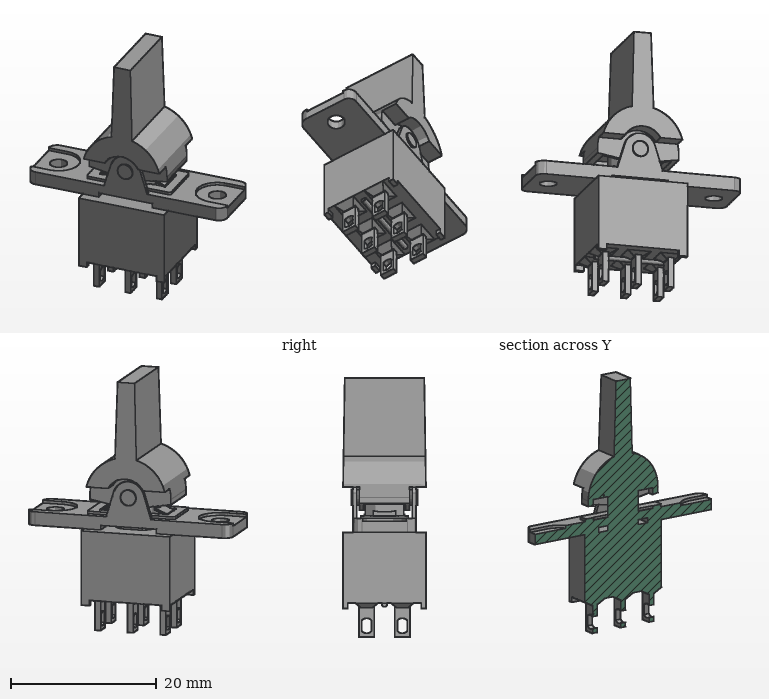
import cadquery as cq
import math


housing_length = 12.77
housing_width = 11.42
housing_base = 3.9
housing_top = 14.37
foot_height = 0.75
foot_length = 1.17
foot_width = 0.68
housing_floor = housing_base + foot_height

terminal_pitch_x = 4.7
terminal_pitch_y = 4.9
terminal_thickness = 0.82
terminal_width = 2.1
eyelet_width = 1.3
eyelet_bottom = 0.55
eyelet_height = 2.03
eyelet_arch = 0.3
bead_height = 0.65
bead_base_length = 3.35
bead_base_width = 3.13
bead_tip_length = 1.0
bead_tip_width = 1.6
rib_height = 0.55
rib_width = 0.7
rib_length = housing_length - 2 * foot_length

plate_length = 29.35
plate_width = 8.68
plate_thickness = 1.92
plate_top = housing_top + plate_thickness
plate_corner_radius = 1.2
screw_hole_diameter = 2.4
screw_hole_x = 11.88
screw_recess_radius = 3.0
screw_recess_depth = 0.4
underside_notch_length = 8.05
underside_notch_height = 0.65
pad_length = 12.6
pad_width = 6.55
pad_height = 0.35
pad_corner_radius = 0.3
pad_slot_length = 9.8
pad_slot_width = 3.85
pad_top = plate_top + pad_height

pivot_z = 19.17
pin_diameter = 2.2
pin_length = 9.1
ear_thickness = 0.55
ear_base_half_length = 3.25
ear_tip_radius = 2.25

bushing_radius = 3.2
collar_width = 5.62
collar_top = 16.82
neck_width = 5.35
tab_width = 3.1
tab_tip_x = 4.7
tab_tip_depth = 0.07
tab_tip_z = pad_top - tab_tip_depth
tab_slope = 0.4
tab_thickness = 0.25

rocker_radius = 5.85
rocker_width = housing_width
hub_width = 6.9
shoulder_rise = 1.42
shoulder_z = pivot_z + shoulder_rise
ear_clearance_radius = 2.88
underside_edge_z = 18.35
underside_centre_z = 17.4
cavity_length = 9.8
cavity_width = 5.75
cavity_top = pivot_z
lever_top = 35.57
lever_tip_thickness = 2.45
lever_root_thickness = 3.1
lever_tip_width = 10.95


def block(length, width, bottom, top):
    """Box centred on the Z axis between two heights."""
    return cq.Workplane("XY", origin=(0, 0, bottom)).rect(length, width).extrude(top - bottom)


def across_y(outline, width):
    """Extrude a closed outline in X and Z over a width centred on Y = 0."""
    return outline.close().extrude(width / 2, both=True)


def along_x(points, length):
    """Extrude a polygon in Y and Z over a length centred on X = 0."""
    return cq.Workplane("YZ").polyline(points).close().extrude(length / 2, both=True)


def pivot_cylinder(radius, width):
    """Cylinder around the pivot axis, centred on Y = 0."""
    return cq.Workplane("XZ").center(0, pivot_z).circle(radius).extrude(width / 2, both=True)


def make_housing():
    """Rectangular body standing on four corner feet."""
    body = block(housing_length, housing_width, housing_base, housing_top)
    body = body.cut(block(rib_length, housing_width, housing_base, housing_floor))
    return body.cut(block(housing_length, housing_width - 2 * foot_width, housing_base, housing_floor))


def make_rib():
    """Round-nosed rib under the housing floor, between the two terminal rows."""
    rib = (
        cq.Workplane("YZ")
        .moveTo(-rib_width / 2, housing_floor)
        .threePointArc((0, housing_floor - rib_height), (rib_width / 2, housing_floor))
        .close()
    )
    return rib.extrude(rib_length / 2, both=True)


def make_bead():
    """Sealing bead that tapers from the housing floor down to the terminal."""
    return (
        cq.Workplane("XY", origin=(0, 0, housing_floor - bead_height))
        .rect(bead_tip_length, bead_tip_width)
        .workplane(offset=bead_height)
        .rect(bead_base_length, bead_base_width)
        .loft(ruled=True)
    )


def make_terminal():
    """Flat blade with an eyelet whose ends are shallow arches, topped by its bead."""
    blade = block(terminal_thickness, terminal_width, 0, housing_floor)
    half = eyelet_width / 2
    top = eyelet_bottom + eyelet_height
    eyelet = (
        cq.Workplane("YZ")
        .moveTo(-half, eyelet_bottom + eyelet_arch)
        .threePointArc((0, eyelet_bottom), (half, eyelet_bottom + eyelet_arch))
        .lineTo(half, top - eyelet_arch)
        .threePointArc((0, top), (-half, top - eyelet_arch))
        .close()
        .extrude(terminal_thickness, both=True)
    )
    return blade.cut(eyelet).union(make_bead())


def make_plate():
    """Mounting plate with two open screw recesses, a slotted pad and an underside notch."""
    plate = block(plate_length, plate_width, housing_top, plate_top).edges("|Z").fillet(plate_corner_radius)
    recess_floor = plate_top - screw_recess_depth
    for side in (-1, 1):
        centre = (side * screw_hole_x, 0)
        recess = cq.Workplane("XY", origin=(0, 0, recess_floor))
        round_end = recess.center(*centre).circle(screw_recess_radius).extrude(screw_recess_depth)
        open_end = (
            recess.center(side * (screw_hole_x + plate_length / 2) / 2, 0)
            .rect(plate_length / 2 - screw_hole_x, 2 * screw_recess_radius)
            .extrude(screw_recess_depth)
        )
        plate = plate.cut(round_end).cut(open_end)
    holes = (
        cq.Workplane("XY", origin=(0, 0, housing_top))
        .pushPoints([(-screw_hole_x, 0), (screw_hole_x, 0)])
        .circle(screw_hole_diameter / 2)
        .extrude(plate_thickness)
    )
    notch = block(underside_notch_length, plate_width, housing_top, housing_top + underside_notch_height)
    pad = block(pad_length, pad_width, plate_top, pad_top).edges("|Z").fillet(pad_corner_radius)
    pad = pad.cut(block(pad_slot_length, pad_slot_width, plate_top, pad_top))
    return plate.cut(holes).cut(notch).union(pad)


def make_ears():
    """Two upright ears, straight sides running tangent into a round tip."""
    drop = pivot_z - plate_top
    reach = math.hypot(ear_base_half_length, drop)
    tangent_angle = math.acos(ear_tip_radius / reach) - math.atan2(drop, ear_base_half_length)
    tangent_x = ear_tip_radius * math.cos(tangent_angle)
    tangent_z = pivot_z + ear_tip_radius * math.sin(tangent_angle)
    outline = (
        cq.Workplane("XZ")
        .moveTo(-ear_base_half_length, plate_top)
        .lineTo(-tangent_x, tangent_z)
        .threePointArc((0, pivot_z + ear_tip_radius), (tangent_x, tangent_z))
        .lineTo(ear_base_half_length, plate_top)
    )
    gap = block(plate_length, plate_width - 2 * ear_thickness, plate_top, lever_top)
    return across_y(outline, plate_width).cut(gap)


def make_bushing():
    """Round bushing flattened on two sides, narrower above its collar, with two tabs."""
    cylinder = cq.Workplane("XY", origin=(0, 0, housing_top)).circle(bushing_radius)
    cylinder = cylinder.extrude(cavity_top - housing_top)
    collar = block(2 * bushing_radius, collar_width, housing_top, collar_top)
    neck = block(2 * bushing_radius, neck_width, collar_top, cavity_top)
    tab_top = tab_tip_z + tab_slope * tab_tip_x
    tabs = (
        cq.Workplane("XZ")
        .moveTo(-tab_tip_x, tab_tip_z)
        .lineTo(0, tab_top)
        .lineTo(tab_tip_x, tab_tip_z)
        .lineTo(tab_tip_x, tab_tip_z - tab_thickness)
        .lineTo(0, tab_top - tab_thickness)
        .lineTo(-tab_tip_x, tab_tip_z - tab_thickness)
    )
    return cylinder.intersect(collar.union(neck)).union(across_y(tabs, tab_width))


def make_rocker():
    """Round rocker with a wide upper part, a narrow hub and a tapered lever."""
    mid_arc_angle = math.radians(45)
    arc_x = rocker_radius * math.cos(mid_arc_angle)
    arc_z = pivot_z + rocker_radius * math.sin(mid_arc_angle)
    root_x = lever_root_thickness / 2
    root_z = pivot_z + math.sqrt(rocker_radius**2 - root_x**2)
    tip_x = lever_tip_thickness / 2
    outline = (
        cq.Workplane("XZ")
        .moveTo(0, underside_centre_z)
        .lineTo(rocker_radius, underside_edge_z)
        .lineTo(rocker_radius, pivot_z)
        .threePointArc((arc_x, arc_z), (root_x, root_z))
        .lineTo(tip_x, lever_top)
        .lineTo(-tip_x, lever_top)
        .lineTo(-root_x, root_z)
        .threePointArc((-arc_x, arc_z), (-rocker_radius, pivot_z))
        .lineTo(-rocker_radius, underside_edge_z)
    )
    solid = across_y(outline, rocker_width)
    upper_envelope = along_x(
        [
            (-rocker_width / 2, shoulder_z),
            (rocker_width / 2, shoulder_z),
            (lever_tip_width / 2, lever_top),
            (-lever_tip_width / 2, lever_top),
        ],
        2 * rocker_radius,
    )
    upper = solid.intersect(upper_envelope).cut(pivot_cylinder(ear_clearance_radius, rocker_width))
    hub = solid.intersect(block(2 * rocker_radius, hub_width, underside_centre_z, pivot_z + rocker_radius))
    cavity = block(cavity_length, cavity_width, underside_centre_z, cavity_top)
    return upper.union(hub.cut(cavity))


result = make_housing().union(make_rib())
terminal = make_terminal()
for x in (-terminal_pitch_x, 0, terminal_pitch_x):
    for y in (-terminal_pitch_y / 2, terminal_pitch_y / 2):
        result = result.union(terminal.translate((x, y, 0)))
result = result.union(make_plate()).union(make_ears()).union(make_bushing()).union(make_rocker())
result = result.union(pivot_cylinder(pin_diameter / 2, pin_length))